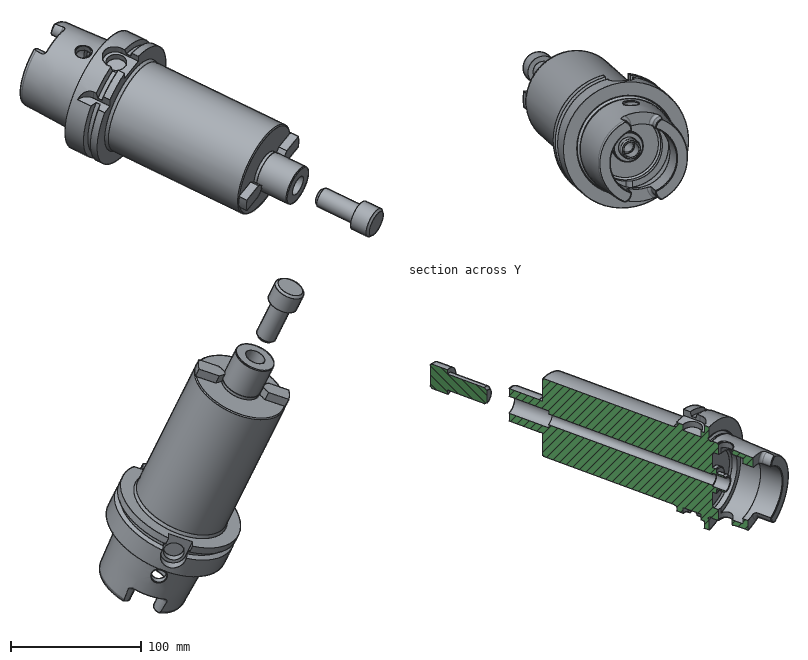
import cadquery as cq
import math


flange_face_x = 50.0
taper_large_d = 75.5
taper_ratio = 0.09
mouth_chamfer_length = 2.0
mouth_chamfer_depth = 0.5
mouth_edge_chamfer = 0.5

relief_start_x = 47.0
relief_depth = 0.75
relief_undercut = 1.0
relief_outer_d = 79.0
relief_bevel = 0.5

cavity_d = 53.0
clamp_lip_x = 20.0
clamp_groove_d = 63.0
clamp_groove_end_x = 41.0
cavity_floor_x = 47.0
cavity_floor_bevel = 1.5

tube_nut_d = 24.0
tube_nut_face_x = 43.0
tube_nut_bevel = 0.75
tube_d = 16.0
tube_tip_d = 14.5
tube_tip_x = 35.0
tube_tip_length = 2.5
tube_bore_d = 12.0
coolant_passage_d = 10.0

end_slot_half_width = 9.5
end_slot_shoulder_z = 32.35
end_slot_round = 7.0
top_slot_depth = 10.2
bottom_slot_depth = 15.0
end_slot_floor_fillet = 2.5
side_hole_d = 12.0
side_hole_x = 35.5
side_hole_bevel = 1.0

flange_d = 100.0
flange_end_x = 79.2
gripper_floor_d = 92.0
gripper_mouth_x = (66.8, 73.0)
gripper_floor_x = (68.3, 72.0)

drive_slot_width = 20.0
drive_slot_x = 64.5
drive_slot_floor_z = 43.0
slot_hole_d = 16.0
slot_hole_x = 65.3
slot_hole_depth = 5.5

notch_offset = 31.3
notch_cutter_r = 10.0

shoulder_d = 78.0
shoulder_end_x = 82.0
shaft_d = 76.0
shaft_end_x = 200.0
shaft_chamfer = 1.0
spigot_d = 32.0
spigot_end_x = 230.0
spigot_neck_d = 31.3
spigot_neck_end_x = 202.5
spigot_bevel_length = 1.0
spigot_bevel_depth = 0.3

key_width = 12.5
key_end_x = 207.0
key_inner_y = 20.5

screw_d = 16.0
screw_tip_x = 249.5
screw_tip_d = 12.0
screw_tip_length = 2.5
screw_head_d = 24.0
screw_head_x = 285.0
screw_end_x = 301.0
screw_head_chamfer = 1.8
screw_hole_depth = screw_head_x - screw_tip_x


def turned(points):
    """Revolve an (x, radius) outline about the X axis."""
    return cq.Workplane("XY").polyline(points).close().revolve(360, (0, 0, 0), (1, 0, 0))


def rod(diameter, start_x, end_x):
    """Plain cylinder along X."""
    return cq.Workplane("YZ").workplane(offset=start_x).circle(diameter / 2).extrude(end_x - start_x)


def box(x_range, y_range, z_range):
    """Block between the given limits."""
    (x0, x1), (y0, y1), (z0, z1) = x_range, y_range, z_range
    return cq.Workplane("XY").box(x1 - x0, y1 - y0, z1 - z0, centered=False).translate((x0, y0, z0))


def taper_radius(x):
    return (taper_large_d - taper_ratio * (flange_face_x - x)) / 2


def outer_blank():
    relief_r = taper_radius(relief_start_x) - relief_depth
    relief_floor_x = flange_face_x + relief_undercut
    return turned([
        (0, 0),
        (0, taper_radius(0) - mouth_chamfer_depth),
        (mouth_chamfer_length, taper_radius(mouth_chamfer_length)),
        (relief_start_x, taper_radius(relief_start_x)),
        (relief_start_x + relief_depth, relief_r),
        (flange_face_x - relief_undercut, relief_r),
        (relief_floor_x, relief_r + 2 * relief_undercut),
        (relief_floor_x, relief_outer_d / 2 - relief_bevel),
        (flange_face_x, relief_outer_d / 2),
        (flange_face_x, flange_d / 2),
        (gripper_mouth_x[0], flange_d / 2),
        (gripper_floor_x[0], gripper_floor_d / 2),
        (gripper_floor_x[1], gripper_floor_d / 2),
        (gripper_mouth_x[1], flange_d / 2),
        (flange_end_x, flange_d / 2),
        (flange_end_x, shoulder_d / 2),
        (shoulder_end_x, shaft_d / 2),
        (shaft_end_x - shaft_chamfer, shaft_d / 2),
        (shaft_end_x, shaft_d / 2 - shaft_chamfer),
        (shaft_end_x, spigot_neck_d / 2),
        (spigot_neck_end_x, spigot_neck_d / 2),
        (spigot_neck_end_x, spigot_d / 2),
        (spigot_end_x - spigot_bevel_length, spigot_d / 2),
        (spigot_end_x, spigot_d / 2 - spigot_bevel_depth),
        (spigot_end_x, 0),
    ])


def cavity():
    """Clamping cavity with its undercut groove."""
    return turned([
        (0, 0),
        (0, cavity_d / 2),
        (clamp_lip_x, cavity_d / 2),
        (clamp_lip_x, clamp_groove_d / 2),
        (clamp_groove_end_x, clamp_groove_d / 2),
        (clamp_groove_end_x, cavity_d / 2),
        (cavity_floor_x - cavity_floor_bevel, cavity_d / 2),
        (cavity_floor_x, cavity_d / 2 - cavity_floor_bevel),
        (cavity_floor_x, 0),
    ])


def coolant_tube():
    """Tube and nut standing on the cavity floor, part of the arbor."""
    return turned([
        (tube_tip_x, 0),
        (tube_tip_x, tube_tip_d / 2),
        (tube_tip_x + tube_tip_length, tube_d / 2),
        (tube_nut_face_x, tube_d / 2),
        (tube_nut_face_x, tube_nut_d / 2 - tube_nut_bevel),
        (tube_nut_face_x + tube_nut_bevel, tube_nut_d / 2),
        (cavity_floor_x, tube_nut_d / 2),
        (cavity_floor_x, 0),
    ])


def end_slot(depth):
    """Slot in the +Z side of the taper mouth; its walls roll over into a flat shoulder."""
    outer_z = taper_large_d / 2 + end_slot_floor_fillet
    half_span = end_slot_half_width + end_slot_round
    round_start_z = end_slot_shoulder_z - end_slot_round
    outer_y = half_span + 2 * end_slot_floor_fillet
    bend = end_slot_round * math.sqrt(0.5)
    bend_y = half_span - bend
    bend_z = round_start_z + bend
    return (
        cq.Workplane("YZ")
        .moveTo(-end_slot_half_width, 0)
        .lineTo(-end_slot_half_width, round_start_z)
        .threePointArc((-bend_y, bend_z), (-half_span, end_slot_shoulder_z))
        .lineTo(-outer_y, end_slot_shoulder_z)
        .lineTo(-outer_y, outer_z)
        .lineTo(outer_y, outer_z)
        .lineTo(outer_y, end_slot_shoulder_z)
        .lineTo(half_span, end_slot_shoulder_z)
        .threePointArc((bend_y, bend_z), (end_slot_half_width, round_start_z))
        .lineTo(end_slot_half_width, 0)
        .close()
        .extrude(depth)
        .faces(">X").edges().fillet(end_slot_floor_fillet)
    )


def bevel_mouth_edges(arbor):
    """Chamfer the bore and slot edges of the mouth face, leaving its outer rim."""
    rim_r = taper_radius(0) - mouth_chamfer_depth
    inner_edges = [
        edge for edge in arbor.faces("<X").edges().vals()
        if math.hypot(edge.positionAt(0.5).y, edge.positionAt(0.5).z) < rim_r - mouth_edge_chamfer
    ]
    return arbor.newObject(inner_edges).chamfer(mouth_edge_chamfer)


def side_hole():
    """Radial hole through the +Z wall of the taper, clear of the coolant tube."""
    hole = cq.Workplane("XY").workplane(offset=tube_d).center(side_hole_x, 0).circle(side_hole_d / 2)
    hole = hole.extrude(taper_large_d / 2 - tube_d)
    countersink_r = side_hole_d / 2 + side_hole_bevel
    countersink = cq.Solid.makeCone(0, countersink_r, countersink_r)
    countersink_tip_z = taper_radius(side_hole_x) - countersink_r
    return hole.union(cq.Workplane(countersink).translate((side_hole_x, 0, countersink_tip_z)))


def drive_slot():
    """Round-ended slot in the +Z side of the flange, with a blind hole in its floor."""
    height = flange_d / 2 - drive_slot_floor_z
    half_width = drive_slot_width / 2
    round_end = cq.Workplane("XY").circle(half_width).extrude(height)
    round_end = round_end.translate((drive_slot_x, 0, drive_slot_floor_z))
    channel = box((drive_slot_x, flange_end_x), (-half_width, half_width),
                  (drive_slot_floor_z, flange_d / 2))
    hole = cq.Workplane("XY").circle(slot_hole_d / 2).extrude(-slot_hole_depth)
    hole = hole.translate((slot_hole_x, 0, drive_slot_floor_z))
    return round_end.union(channel).union(hole)


def orientation_notch():
    """Corner notch at the -Y, +Z side of the flange, ended by an upright cutter radius."""
    height = flange_d / 2 - notch_offset
    span = 2 * notch_cutter_r
    round_end = cq.Workplane("XY").circle(notch_cutter_r).extrude(height)
    round_end = round_end.translate((drive_slot_x, -notch_offset - notch_cutter_r, notch_offset))
    channel = box((drive_slot_x, flange_end_x), (-notch_offset - span, -notch_offset),
                  (notch_offset, flange_d / 2))
    return round_end.union(channel)


def drive_keys():
    """Two keys on the shaft end face, with sloped inner ends beside the spigot."""
    half = key_width / 2
    tip_y = key_inner_y - half
    outer_y = shaft_d / 2
    key = (
        cq.Workplane("YZ").workplane(offset=shaft_end_x)
        .polyline([(tip_y, 0), (key_inner_y, half), (outer_y, half),
                   (outer_y, -half), (key_inner_y, -half)])
        .close()
        .extrude(key_end_x - shaft_end_x)
    )
    keys = key.union(key.mirror("XZ"))
    return keys.intersect(rod(shaft_d, 0, key_end_x))


def mirrored_below(shape):
    return shape.mirror("XY")


def make_arbor():
    arbor = outer_blank().union(drive_keys())
    arbor = arbor.cut(cavity().cut(coolant_tube()))
    arbor = arbor.cut(end_slot(top_slot_depth))
    arbor = arbor.cut(mirrored_below(end_slot(bottom_slot_depth)))
    arbor = bevel_mouth_edges(arbor)
    arbor = arbor.cut(side_hole()).cut(mirrored_below(side_hole()))
    arbor = arbor.cut(drive_slot()).cut(mirrored_below(drive_slot()))
    arbor = arbor.cut(orientation_notch())
    arbor = arbor.cut(rod(tube_bore_d, tube_tip_x, cavity_floor_x))
    arbor = arbor.cut(rod(coolant_passage_d, cavity_floor_x, spigot_end_x))
    return arbor.cut(rod(screw_d, spigot_end_x - screw_hole_depth, spigot_end_x))


def make_screw():
    return turned([
        (screw_tip_x, 0),
        (screw_tip_x, screw_tip_d / 2),
        (screw_tip_x + screw_tip_length, screw_d / 2),
        (screw_head_x, screw_d / 2),
        (screw_head_x, screw_head_d / 2),
        (screw_end_x - screw_head_chamfer, screw_head_d / 2),
        (screw_end_x, screw_head_d / 2 - screw_head_chamfer),
        (screw_end_x, 0),
    ])


arbor = make_arbor()
screw = make_screw()
result = cq.Compound.makeCompound([arbor.val(), screw.val()])